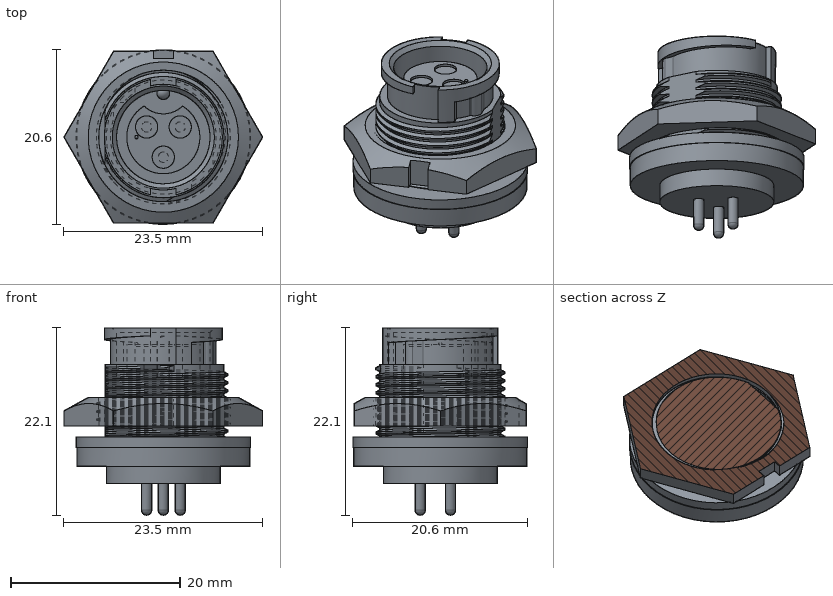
import cadquery as cq
import math

RIM_Z = 12.85
SHOULDER_Z = 8.56
FLANGE_STEP_Z = -1.27
FLANGE_BOTTOM_Z = -3.47
BOSS_BOTTOM_Z = -5.51
PIN_TIP_Z = -9.25
NUT_BOTTOM_Z = 1.27
NUT_TOP_Z = 4.67

FLANGE_R = 10.31
FLANGE_LOWER_R = 10.23
BOSS_R = 6.73

THREAD_ROOT_R = 7.15
THREAD_CREST_R = 7.62
THREAD_PITCH = 0.95
THREAD_BASE_HALF = 0.35
THREAD_CREST_HALF = 0.105
THREAD_LEAD_Z = 7.35
THREAD_TURNS_BELOW = 9
THREAD_TURNS_ABOVE = 0.8
RUNOUT_CREST_X = 0.33
RUNOUT_ROOT_X = 1.25
FLAT_X = -6.87

NECK_R = 6.25
COLLAR_R = 6.97
SLOT_HALF_WIDTH = 1.52
RAMP_PITCH = 2.06
RAMP_ENTRY_DROP = 0.85
RAMP_TURNS = 0.5
CHANNEL_HEIGHT = 3.75
CHANNEL_STOP_X = -3.35
DETENT_FACE_X = -5.9
DETENT_FACE_END_Y = 3.28
DETENT_SIDE_X = -4.9
DETENT_SIDE_Y = 4.08
DETENT_R = 0.99
DETENT_TOP_DROP = 1.17

SOCKET_R = 5.51
SOCKET_FLOOR_Z = 7.04
SOCKET_CHAMFER = 0.52
INSERT_R = 4.32
INSERT_TOP_Z = 10.93
BITE_Y = 6.0
BITE_R = 3.25
CONTACT_POINTS = [(-1.97, 1.2), (2.0, 1.2), (0, -2.37)]
CONTACT_RECESS_R = 1.31
CONTACT_RECESS_DEPTH = 0.28
MARK_X = -3.17
MARK_R = 0.2
KEY_PIN_Y = 5.18
KEY_PIN_R = 0.75
KEY_PIN_TOP_Z = 11.92
PIN_R = 0.6

HEX_CORNER_R = 11.73
NUT_FACE_R = 8.87
NUT_CHAMFER_DROP = 1.6
NUT_GROOVE_R = 7.9
NUT_GROOVE_MOUTH_HALF = 0.15
NUT_GROOVE_ROOT_HALF = 0.05
NUT_GROOVE_DROP = 0.07
NUT_NOTCH_WIDTH = 2.35
NUT_NOTCH_Y = 9.27

OVERLAP = 0.19
CUT_MARGIN = 1.17


def cylinder(radius, bottom, top, x=0, y=0):
    return cq.Workplane("XY", origin=(x, y, bottom)).circle(radius).extrude(top - bottom)


def ball(radius, x, y, z):
    return cq.Workplane("XY", origin=(x, y, z)).sphere(radius)


def block(x_range, y_range, z_range):
    (x0, x1), (y0, y1), (z0, z1) = x_range, y_range, z_range
    return cq.Workplane("XY").box(x1 - x0, y1 - y0, z1 - z0, centered=False).translate((x0, y0, z0))


def helical_sweep(profile, pitch, turns, start_z):
    """Sweep an (r, z) profile up a right-handed helix that starts on the +X side."""
    helix = cq.Workplane(cq.Wire.makeHelix(pitch, pitch * turns, profile[0][0]))
    solid = cq.Workplane("XZ").polyline(profile).close().sweep(helix, isFrenet=True)
    return solid.translate((0, 0, start_z))


def rotated(shape, angle):
    return shape.rotate((0, 0, 0), (0, 0, 1), angle)


def thread_ridge():
    flank_slope = (THREAD_BASE_HALF - THREAD_CREST_HALF) / (THREAD_CREST_R - THREAD_ROOT_R)
    inner_r = THREAD_ROOT_R - OVERLAP
    inner_half = THREAD_BASE_HALF + OVERLAP * flank_slope
    profile = [
        (inner_r, -inner_half),
        (THREAD_CREST_R, -THREAD_CREST_HALF),
        (THREAD_CREST_R, THREAD_CREST_HALF),
        (inner_r, inner_half),
    ]
    start_z = THREAD_LEAD_Z - THREAD_TURNS_BELOW * THREAD_PITCH
    ridge = helical_sweep(profile, THREAD_PITCH, THREAD_TURNS_BELOW + THREAD_TURNS_ABOVE, start_z)

    crest_y = -math.sqrt(THREAD_CREST_R**2 - RUNOUT_CREST_X**2)
    root_y = -math.sqrt(THREAD_ROOT_R**2 - RUNOUT_ROOT_X**2)
    step_x = RUNOUT_ROOT_X - RUNOUT_CREST_X
    step_y = root_y - crest_y
    end_centre_z = THREAD_LEAD_Z + 0.75 * THREAD_PITCH
    runout = (
        cq.Workplane("XY", origin=(0, 0, end_centre_z - THREAD_PITCH / 2))
        .moveTo(RUNOUT_CREST_X - step_x, crest_y - step_y)
        .lineTo(RUNOUT_ROOT_X + step_x, root_y + step_y)
        .lineTo(COLLAR_R, root_y + step_y)
        .lineTo(COLLAR_R, crest_y - step_y)
        .close()
        .extrude(2 * THREAD_PITCH)
    )
    return ridge.cut(runout)


def threaded_barrel():
    reach = THREAD_CREST_R + CUT_MARGIN
    beyond_flat = block((-reach, FLAT_X), (-reach, reach), (FLANGE_BOTTOM_Z, RIM_Z))
    core = cylinder(THREAD_ROOT_R, FLANGE_BOTTOM_Z, SHOULDER_Z).cut(beyond_flat)
    return core.union(thread_ridge().cut(beyond_flat))


def bayonet_channel():
    """Channel from the -Y slot round the -X side, under a ramp, to a flat stop."""
    outer_r = COLLAR_R + CUT_MARGIN
    inner_r = NECK_R - OVERLAP
    profile = [(inner_r, -CHANNEL_HEIGHT), (outer_r, -CHANNEL_HEIGHT), (outer_r, 0), (inner_r, 0)]
    start_z = RIM_Z - RAMP_ENTRY_DROP - RAMP_TURNS * RAMP_PITCH
    channel = rotated(helical_sweep(profile, RAMP_PITCH, RAMP_TURNS, start_z), 90)
    stop = block((CHANNEL_STOP_X, outer_r), (0, outer_r), (0, RIM_Z))
    return channel.cut(stop)


def detent():
    """Rounded bump in the channel, flush with the neck on its entry side."""
    flush_y = math.sqrt(NECK_R**2 - DETENT_FACE_X**2)
    return (
        cq.Workplane("XY", origin=(0, 0, SHOULDER_Z))
        .moveTo(DETENT_FACE_X, flush_y)
        .lineTo(DETENT_FACE_X, DETENT_FACE_END_Y)
        .radiusArc((DETENT_SIDE_X, DETENT_SIDE_Y), DETENT_R)
        .lineTo(DETENT_SIDE_X + DETENT_R, DETENT_SIDE_Y)
        .lineTo(DETENT_SIDE_X + DETENT_R, flush_y)
        .close()
        .extrude(RIM_Z - DETENT_TOP_DROP - SHOULDER_Z)
    )


def bayonet_collar():
    collar = cylinder(COLLAR_R, SHOULDER_Z, RIM_Z)
    collar = collar.cut(cylinder(NECK_R, SHOULDER_Z, RIM_Z))
    slot = block((-SLOT_HALF_WIDTH, SLOT_HALF_WIDTH), (-COLLAR_R - CUT_MARGIN, 0), (SHOULDER_Z, RIM_Z))
    for angle in (0, 180):
        collar = collar.cut(rotated(slot, angle)).cut(rotated(bayonet_channel(), angle))
    neck = cylinder(NECK_R, SHOULDER_Z, RIM_Z)
    for angle in (0, 180):
        neck = neck.union(rotated(detent(), angle))
    return neck.union(collar)


def insert():
    disc = cylinder(INSERT_R, SOCKET_FLOOR_Z, INSERT_TOP_Z)
    disc = disc.cut(cylinder(BITE_R, SOCKET_FLOOR_Z, INSERT_TOP_Z, 0, BITE_Y))
    for x, y in CONTACT_POINTS:
        disc = disc.cut(cylinder(CONTACT_RECESS_R, INSERT_TOP_Z - CONTACT_RECESS_DEPTH, INSERT_TOP_Z, x, y))
    return disc.union(ball(MARK_R, MARK_X, 0, INSERT_TOP_Z))


def key_pin():
    ball_z = KEY_PIN_TOP_Z - KEY_PIN_R
    shank = cylinder(KEY_PIN_R, SOCKET_FLOOR_Z, ball_z, 0, KEY_PIN_Y)
    return shank.union(ball(KEY_PIN_R, 0, KEY_PIN_Y, ball_z))


def contact_pin(x, y):
    ball_z = PIN_TIP_Z + PIN_R
    return cylinder(PIN_R, ball_z, BOSS_BOTTOM_Z, x, y).union(ball(PIN_R, x, y, ball_z))


def make_connector():
    body = threaded_barrel().union(bayonet_collar())
    socket = cylinder(SOCKET_R, SOCKET_FLOOR_Z, RIM_Z)
    body = body.cut(socket).faces(">Z").edges("%CIRCLE").edges(
        cq.selectors.RadiusNthSelector(0)).chamfer(SOCKET_CHAMFER)
    body = body.union(cylinder(FLANGE_R, FLANGE_STEP_Z, 0))
    body = body.union(cylinder(FLANGE_LOWER_R, FLANGE_BOTTOM_Z, FLANGE_STEP_Z))
    body = body.union(cylinder(BOSS_R, BOSS_BOTTOM_Z, FLANGE_BOTTOM_Z))
    body = body.union(insert()).union(key_pin())
    for x, y in CONTACT_POINTS:
        body = body.union(contact_pin(x, y))
    return body


def nut_groove():
    """Internal thread groove, at the pitch of the ridge of the connector."""
    flank_slope = (NUT_GROOVE_MOUTH_HALF - NUT_GROOVE_ROOT_HALF) / (NUT_GROOVE_R - THREAD_CREST_R)
    inner_r = THREAD_CREST_R - OVERLAP
    inner_half = NUT_GROOVE_MOUTH_HALF + OVERLAP * flank_slope
    profile = [
        (inner_r, -inner_half),
        (NUT_GROOVE_R, -NUT_GROOVE_ROOT_HALF),
        (NUT_GROOVE_R, NUT_GROOVE_ROOT_HALF),
        (inner_r, inner_half),
    ]
    start_z = THREAD_LEAD_Z - NUT_GROOVE_DROP - THREAD_TURNS_BELOW * THREAD_PITCH
    return helical_sweep(profile, THREAD_PITCH, THREAD_TURNS_BELOW, start_z)


def make_nut():
    height = NUT_TOP_Z - NUT_BOTTOM_Z
    hexagon = cq.Workplane("XY", origin=(0, 0, NUT_BOTTOM_Z)).polygon(6, 2 * HEX_CORNER_R).extrude(height)
    envelope = (
        cq.Workplane("XZ")
        .moveTo(0, NUT_BOTTOM_Z)
        .lineTo(HEX_CORNER_R, NUT_BOTTOM_Z)
        .lineTo(HEX_CORNER_R, NUT_TOP_Z - NUT_CHAMFER_DROP)
        .lineTo(NUT_FACE_R, NUT_TOP_Z)
        .lineTo(0, NUT_TOP_Z)
        .close()
        .revolve(360, (0, 0, 0), (0, 1, 0))
    )
    nut = hexagon.intersect(envelope)
    nut = nut.cut(nut_groove()).cut(cylinder(THREAD_CREST_R, NUT_BOTTOM_Z, NUT_TOP_Z))
    notch = block(
        (-NUT_NOTCH_WIDTH / 2, NUT_NOTCH_WIDTH / 2),
        (NUT_NOTCH_Y, HEX_CORNER_R),
        (NUT_BOTTOM_Z, NUT_TOP_Z),
    )
    return nut.cut(notch)


connector = make_connector()
nut = make_nut()

result = cq.Compound.makeCompound([connector.val(), nut.val()])